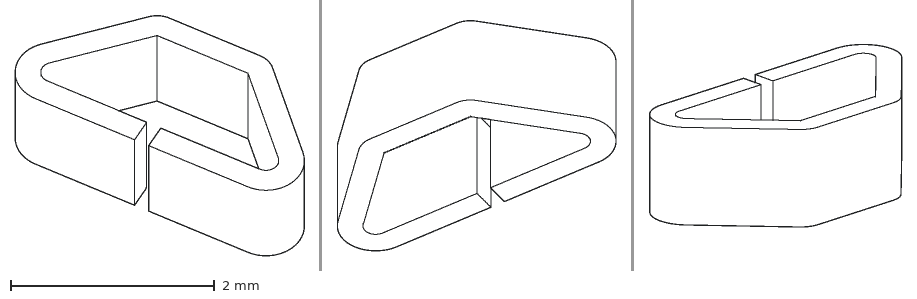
import cadquery as cq
import math

width = 3.12
depth = 1.52
height = 1.02
wall = 0.253
gap = 0.155
bend_radius = 0.378
top_width = 1.01

front_bend = (width / 2 - bend_radius, bend_radius - depth / 2)
back_bend = (top_width / 2, depth / 2 - wall)

run = back_bend[0] - front_bend[0]
rise = back_bend[1] - front_bend[1]
radius_difference = bend_radius - wall
normal_angle = math.atan2(rise, run) - math.acos(radius_difference / math.hypot(run, rise))


def on_arc(center, radius, angle):
    """Point of an arc at the given angle in radians."""
    return (center[0] + radius * math.cos(angle), center[1] + radius * math.sin(angle))


def mirrored(point):
    """Point reflected to the other side of the symmetry plane."""
    return (-point[0], point[1])


def ring_section(inset):
    """Closed loop of the ring, moved inward from the outer face by the inset."""
    front_radius = bend_radius - inset
    back_radius = wall - inset
    down = -math.pi / 2
    up = math.pi / 2
    front_start = on_arc(front_bend, front_radius, down)
    front_middle = on_arc(front_bend, front_radius, (down + normal_angle) / 2)
    front_end = on_arc(front_bend, front_radius, normal_angle)
    back_start = on_arc(back_bend, back_radius, normal_angle)
    back_middle = on_arc(back_bend, back_radius, (normal_angle + up) / 2)
    back_end = on_arc(back_bend, back_radius, up)

    loop = cq.Workplane("XY").workplane(offset=-height / 2).moveTo(*front_start)
    loop = loop.threePointArc(front_middle, front_end).lineTo(*back_start)
    if back_radius > 0:
        loop = loop.threePointArc(back_middle, back_end)
    loop = loop.lineTo(*mirrored(back_end))
    if back_radius > 0:
        loop = loop.threePointArc(mirrored(back_middle), mirrored(back_start))
    loop = loop.lineTo(*mirrored(front_end))
    loop = loop.threePointArc(mirrored(front_middle), mirrored(front_start))
    return loop.close()


outer_body = ring_section(0).extrude(height)
opening = ring_section(wall).extrude(height)

slit = cq.Workplane("XY").box(gap, 2 * wall, height).translate((0, -depth / 2, 0))

result = outer_body.cut(opening).cut(slit)